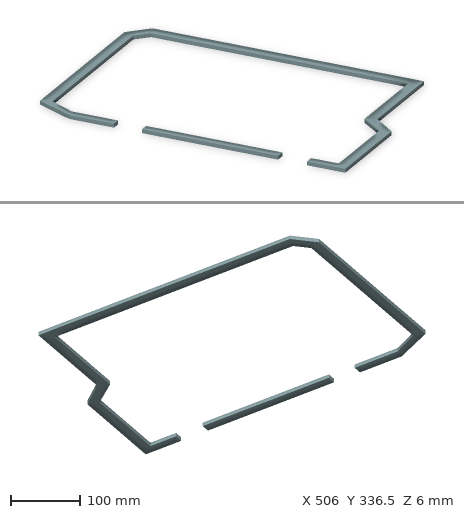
import cadquery as cq

length = 506.0
width = 336.5
thickness = 6.0

wall = 17.0
bottom_wall = 13.5

outer_chamfer = 30.5
inner_chamfer = 19.0

outer_diagonal_x = 60.5
outer_diagonal_y = 28.5
inner_diagonal_x = 58.5
inner_diagonal_y = 34.5

upper_right_x = 468.0
outer_jog_top = 183.0
outer_jog_bottom = 152.5
inner_jog_top = 175.5
inner_jog_bottom = 146.0

left_end_x = 133.0
bar_start_x = 178.0
bar_end_x = 397.5
right_end_x = 444.5


def make_frame():
    """Open strip, traced clockwise outside and then back along the inside."""
    outer = [
        (left_end_x, 0),
        (outer_diagonal_x, 0),
        (0, outer_diagonal_y),
        (0, width - outer_chamfer),
        (outer_chamfer, width),
        (upper_right_x, width),
        (upper_right_x, outer_jog_top),
        (length, outer_jog_bottom),
        (length, 0),
        (right_end_x, 0),
    ]
    inner = [
        (right_end_x, bottom_wall),
        (length - wall, bottom_wall),
        (length - wall, inner_jog_bottom),
        (upper_right_x - wall, inner_jog_top),
        (upper_right_x - wall, width - wall),
        (wall + inner_chamfer, width - wall),
        (wall, width - wall - inner_chamfer),
        (wall, inner_diagonal_y),
        (inner_diagonal_x, bottom_wall),
        (left_end_x, bottom_wall),
    ]
    return cq.Workplane("XY").polyline(outer + inner).close().extrude(thickness)


def make_bar():
    """Loose straight bar in line with the bottom run of the frame."""
    bar_length = bar_end_x - bar_start_x
    bar = cq.Workplane("XY").box(bar_length, bottom_wall, thickness, centered=False)
    return bar.translate((bar_start_x, 0, 0))


frame = make_frame()
bar = make_bar()

result = cq.Compound.makeCompound([frame.val(), bar.val()])